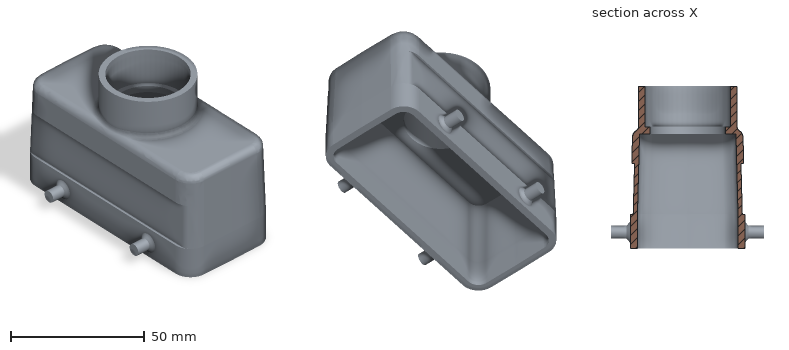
import cadquery as cq
import math


base_length = 93.5
base_width = 43.1
base_height = 12.9
body_height = 44.9
corner_radius = 7.6
draft_slope = 0.026
top_fillet = 3.0

end_crease = 0.2
roof_fall = 0.14

wall = 2.8
cavity_height = 43.0

overall_height = 61.0
neck_diameter = 37.0
neck_bore_diameter = 28.0
counterbore_diameter = 32.0
counterbore_floor = 45.8
neck_fillet = 2.0

recess_length = 87.6
recess_top = 31.9
recess_depth = 1.0
recess_end_run = 2.0

overall_width = 57.2
pin_diameter = 4.9
pin_spacing = 47.4
pin_height = 6.2
collar_diameter = 7.9
collar_length = 1.3


def draft_inset(z):
    """Distance each drafted side has moved inward at height z."""
    return draft_slope * (z - base_height)


def end_creased_outline(length, width, radius):
    """Rounded rectangle whose two ends bow out to a shallow crease on the X axis."""
    corner_x = length / 2 - end_crease
    corners = [
        (-corner_x, -width / 2),
        (corner_x, -width / 2),
        (length / 2, 0),
        (corner_x, width / 2),
        (-corner_x, width / 2),
        (-length / 2, 0),
    ]
    outline = cq.Sketch().polygon(corners + corners[:1])
    return outline.vertices("<Y or >Y").fillet(radius)


def rounded_box(length, width, radius, bottom, top, inset=0.0):
    """Box with rounded vertical corners whose sides move in by inset towards the top."""
    lower = end_creased_outline(length, width, radius)
    upper = end_creased_outline(length - 2 * inset, width - 2 * inset, radius)
    return (
        cq.Workplane("XY", origin=(0, 0, bottom))
        .placeSketch(lower, upper.moved(cq.Location(cq.Vector(0, 0, top - bottom))))
        .loft(ruled=True)
    )


def roof_envelope():
    """Prism along X whose top falls gently from a ridge on the centre line."""
    half_width = base_width / 2
    section = [
        (-half_width, 0),
        (half_width, 0),
        (half_width, body_height - roof_fall),
        (0, body_height),
        (-half_width, body_height - roof_fall),
    ]
    return cq.Workplane("YZ").polyline(section).close().extrude(base_length / 2, both=True)


def outer_body():
    """Straight base, drafted upper part and the neck blended into the roof."""
    base = rounded_box(base_length, base_width, corner_radius, 0, base_height)
    upper = rounded_box(
        base_length, base_width, corner_radius, base_height, body_height, draft_inset(body_height)
    )
    upper = upper.intersect(roof_envelope())
    above_walls = cq.selectors.BoxSelector(
        (-base_length, -base_width, body_height - 2 * roof_fall),
        (base_length, base_width, body_height + roof_fall),
        boundingbox=True,
    )
    ridge_line = cq.selectors.BoxSelector(
        (-base_length, -roof_fall, 0), (base_length, roof_fall, overall_height), boundingbox=True
    )
    upper = upper.edges(above_walls - ridge_line).fillet(top_fillet)
    neck = (
        cq.Workplane("XY", origin=(0, 0, cavity_height))
        .circle(neck_diameter / 2)
        .extrude(overall_height - cavity_height)
    )
    reach = neck_diameter / 2 + roof_fall
    neck_foot = cq.selectors.BoxSelector(
        (-reach, -reach, body_height - top_fillet),
        (reach, reach, body_height + roof_fall),
        boundingbox=True,
    )
    return upper.union(neck).edges(neck_foot).fillet(neck_fillet).union(base)


def cavity():
    """Hollow that follows the outer walls at a constant thickness."""
    length = base_length - 2 * wall
    width = base_width - 2 * wall
    radius = corner_radius - wall
    lower = rounded_box(length, width, radius, 0, base_height)
    upper = rounded_box(length, width, radius, base_height, cavity_height, draft_inset(cavity_height))
    return lower.union(upper)


def neck_bores():
    """Bore through the roof and the wider counterbore above its shoulder."""
    bore = cq.Workplane("XY").circle(neck_bore_diameter / 2).extrude(overall_height)
    counterbore = (
        cq.Workplane("XY", origin=(0, 0, counterbore_floor))
        .circle(counterbore_diameter / 2)
        .extrude(overall_height - counterbore_floor)
    )
    return bore.union(counterbore)


def recess_profile(workplane, inset):
    """Recess outline: a flat floor whose rounded ends run out on the body corners."""
    end_x = recess_length / 2
    into_corner = end_x - (base_length / 2 - end_crease - corner_radius)
    corner_drop = corner_radius - math.sqrt(corner_radius**2 - into_corner**2)
    end_drop = corner_drop - recess_depth
    end_radius = (recess_end_run**2 + end_drop**2) / (2 * end_drop)

    end_x -= inset
    flat_x = end_x - recess_end_run
    floor_y = base_width / 2 - recess_depth - inset
    end_y = floor_y - end_drop
    outside_y = overall_width / 2
    return (
        workplane.moveTo(-end_x, -outside_y)
        .lineTo(-end_x, -end_y)
        .radiusArc((-flat_x, -floor_y), -end_radius)
        .lineTo(flat_x, -floor_y)
        .radiusArc((end_x, -end_y), -end_radius)
        .lineTo(end_x, -outside_y)
        .close()
    )


def recess():
    """Cutter for the recess in the -Y side, drafted like the body."""
    lower = recess_profile(cq.Workplane("XY", origin=(0, 0, base_height)), 0)
    upper = lower.workplane(offset=recess_top - base_height)
    return recess_profile(upper, draft_inset(recess_top)).loft(ruled=True)


def pin(x):
    """Pin with a conical collar on the -Y side, starting inside the wall."""
    start = base_width / 2 - wall / 2
    collar_start = base_width / 2
    collar_end = collar_start + collar_length
    half_profile = [
        (0, -start),
        (collar_diameter / 2, -start),
        (collar_diameter / 2, -collar_start),
        (pin_diameter / 2, -collar_end),
        (pin_diameter / 2, -overall_width / 2),
        (0, -overall_width / 2),
    ]
    turned = cq.Workplane("XY").polyline(half_profile).close().revolve(360, (0, 0, 0), (0, 1, 0))
    return turned.translate((x, 0, pin_height))


hood = outer_body().cut(cavity()).cut(neck_bores())

side_recess = recess()
hood = hood.cut(side_recess).cut(side_recess.mirror("XZ"))

for x in (-pin_spacing / 2, pin_spacing / 2):
    side_pin = pin(x)
    hood = hood.union(side_pin).union(side_pin.mirror("XZ"))

result = hood